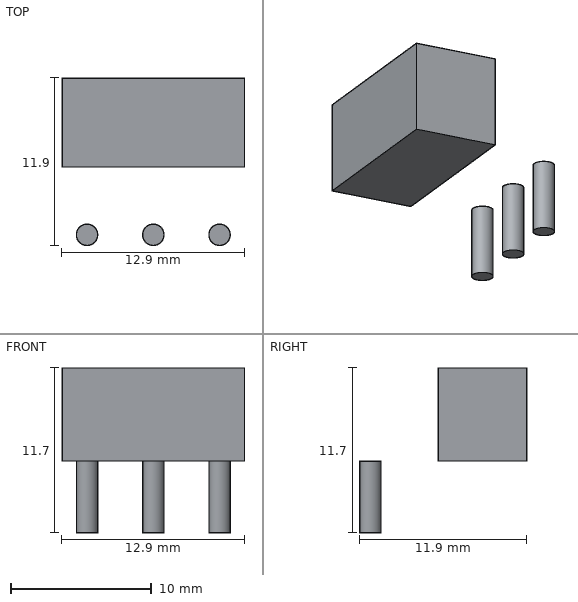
import cadquery as cq

housing_length = 12.95
housing_depth = 6.31
housing_height = 6.6

pin_count = 3
pin_diameter = 1.53
pin_length = 5.09
pin_pitch = 4.7
overall_depth = 11.88
pin_row_y = pin_diameter / 2 - overall_depth


def make_housing():
    """Plain block with its back face at Y = 0 and its underside at Z = 0."""
    return cq.Workplane("XY").box(
        housing_length, housing_depth, housing_height, centered=(True, False, False)
    ).translate((0, -housing_depth, 0))


def make_pin(x):
    """Vertical pin whose top is level with the housing underside."""
    return (
        cq.Workplane("XY", origin=(x, pin_row_y, 0))
        .circle(pin_diameter / 2)
        .extrude(-pin_length)
    )


housing = make_housing()

pins = []
for index in range(pin_count):
    pin_x = (index - (pin_count - 1) / 2) * pin_pitch
    pins.append(make_pin(pin_x))

result = cq.Compound.makeCompound([housing.val(), *[pin.val() for pin in pins]])